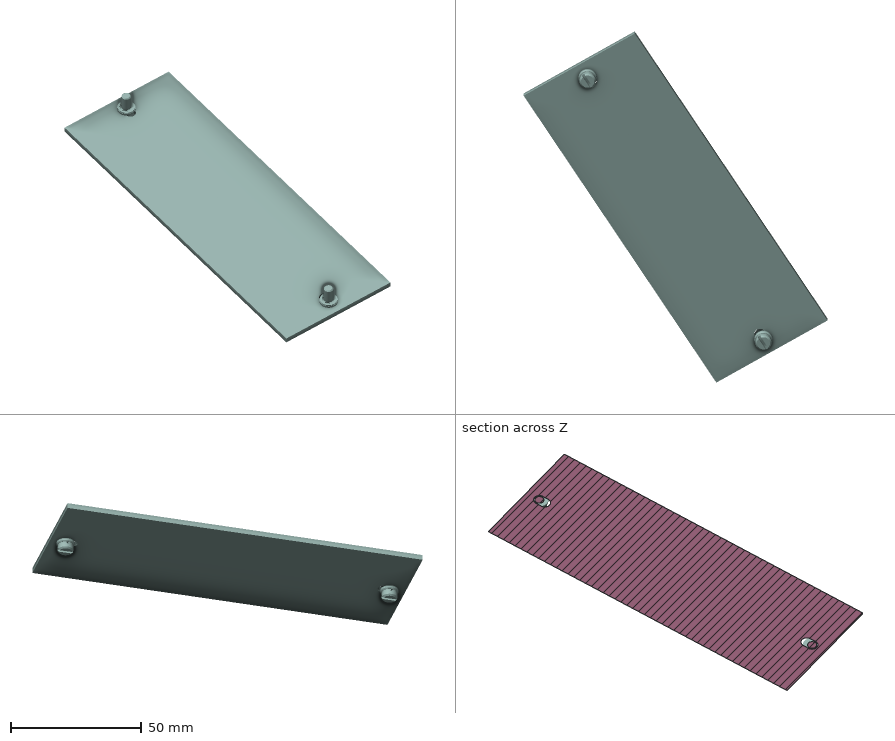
import cadquery as cq

plate_length = 141.7
plate_width = 50.0
plate_thickness = 2.1
screw_spacing = 129.2

hole_radius = 2.1
hole_travel = 2.5

shank_radius = 1.8
shank_chamfer = 0.4
shank_rise = 7.4
head_radius = 3.1
head_height = 2.0
head_chamfer = 0.5
driver_slot_width = 1.1
driver_slot_depth = 1.0

washer_radius = 3.5
upper_washer_thickness = 0.9
lower_washer_thickness = 1.3
lower_washer_chamfer = 0.4
spring_radius = 3.0
spring_thickness = 0.9
spring_gap = 0.5
spring_gap_lean = 30.0
clip_radius = 3.4
clip_thickness = 0.4
clip_mouth_width = 3.4
clip_pocket_radius = 2.5
clip_side_lug_reach = 1.0
clip_bottom_lug_width = 1.1

upper_washer_top = plate_thickness + upper_washer_thickness
lower_washer_bottom = -lower_washer_thickness
spring_bottom = lower_washer_bottom - spring_thickness
head_bottom = spring_bottom - head_height
shank_top = plate_thickness + shank_rise


def disc(radius, bottom, height):
    return cq.Workplane("XY").workplane(offset=bottom).circle(radius).extrude(height)


def block(x_size, y_size, height, bottom):
    return (
        cq.Workplane("XY")
        .workplane(offset=bottom)
        .rect(x_size, y_size)
        .extrude(height)
    )


def make_plate():
    plate = block(plate_length, plate_width, plate_thickness, 0)
    hole_center = screw_spacing / 2 - hole_travel / 2
    return (
        plate.faces(">Z")
        .workplane(origin=(0, 0, plate_thickness))
        .pushPoints([(-hole_center, 0), (hole_center, 0)])
        .slot2D(hole_travel + 2 * hole_radius, 2 * hole_radius)
        .cutThruAll()
    )


def make_screw():
    shank = disc(shank_radius, spring_bottom, shank_top - spring_bottom)
    shank = shank.faces(">Z").chamfer(shank_chamfer)
    head = disc(head_radius, head_bottom, head_height)
    head = head.faces("<Z").chamfer(head_chamfer)
    driver_slot = block(2 * head_radius, driver_slot_width, driver_slot_depth, head_bottom)
    return shank.union(head.cut(driver_slot))


def make_spring_washer():
    """Split ring with a slanted gap on its -Y side."""
    ring = disc(spring_radius, spring_bottom, spring_thickness)
    gap = (
        cq.Workplane("XY")
        .box(spring_gap, spring_radius, 4 * spring_thickness)
        .rotate((0, 0, 0), (0, 1, 0), -spring_gap_lean)
        .translate((0, -spring_radius / 2, spring_bottom + spring_thickness / 2))
    )
    return ring.cut(gap)


def make_clip():
    """E-clip with its mouth towards +Y and two pockets between its three lugs."""
    clip = disc(clip_radius, upper_washer_top, clip_thickness)
    mouth = block(clip_mouth_width, clip_radius, clip_thickness, upper_washer_top)
    mouth = mouth.translate((0, clip_radius / 2, 0))
    side_lugs = block(2 * clip_radius, 2 * clip_radius, clip_thickness, upper_washer_top)
    side_lugs = side_lugs.translate((0, clip_radius - clip_side_lug_reach, 0))
    bottom_lug = block(clip_bottom_lug_width, 2 * clip_radius, clip_thickness, upper_washer_top)
    pockets = disc(clip_pocket_radius, upper_washer_top, clip_thickness)
    pockets = pockets.cut(side_lugs).cut(bottom_lug)
    return clip.cut(mouth).cut(pockets)


def make_fastener():
    upper_washer = disc(washer_radius, plate_thickness, upper_washer_thickness)
    lower_washer = disc(washer_radius, lower_washer_bottom, lower_washer_thickness)
    lower_washer = lower_washer.faces("<Z").chamfer(lower_washer_chamfer)
    stack = upper_washer.union(lower_washer).union(make_spring_washer())
    return stack.union(make_clip()).union(make_screw())


left_fastener = make_fastener().translate((-screw_spacing / 2, 0, 0))
right_fastener = left_fastener.mirror("YZ")
result = make_plate().union(left_fastener).union(right_fastener)